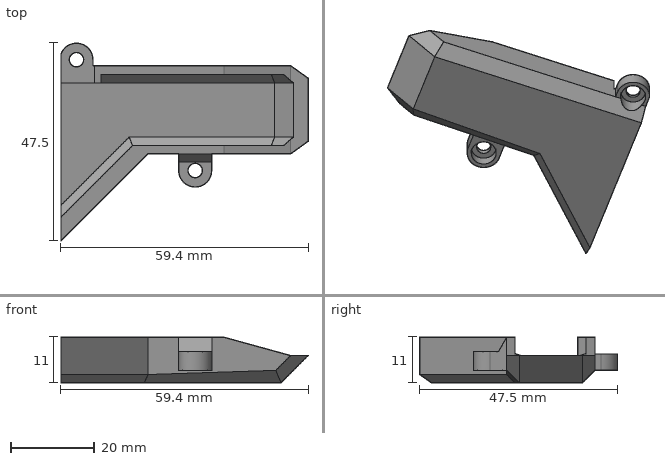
import cadquery as cq
import math

length = 59.35
height = 11.0
tray_front = 20.9
tray_back = 42.1

nose_height = 6.6
nose_bottom = length - nose_height
roof_break = 39.2
roof_end = 55.15
corner_depth = 3.0
corner_length = length - roof_end

diagonal_chamfer = 2.0
wide_chamfer = 3.0
front_chamfer_end = roof_end - nose_height + wide_chamfer
front_chamfer_growth = (wide_chamfer - diagonal_chamfer) / (front_chamfer_end - tray_front)

floor = 2.0
bevel = 2.0
front_wall = 2.0
cavity_front = tray_front + front_wall
back_floor_edge = 37.95
cavity_back = back_floor_edge + bevel
cavity_start = 9.7
cavity_nose_bottom = 49.3
diagonal_wall = 4.05
diagonal_wall_along_y = diagonal_wall * math.sqrt(2)

ear_radius = 4.0
hole_diameter = 3.4
counterbore_diameter = 6.0
counterbore_top = 6.0
ear_bottom = wide_chamfer
back_ear_top = 7.0
back_ear_x = 3.75
back_ear_y = 47.5 - ear_radius
back_step_end = 8.1
front_ear_top = 7.55
front_ear_x = 32.25
front_ear_y = 16.9
gusset_depth = 1.95

clearance = 11.9
cutter_size = 237.5


def trim(solid, point, outward):
    """Remove everything on the outward side of a plane."""
    plane = cq.Plane(origin=point, normal=outward)
    return solid.cut(cq.Workplane(plane).rect(cutter_size, cutter_size).extrude(cutter_size))


def trim_nose(solid, bottom_x, front, back):
    """Slope the nose at 45 degrees and cut its two corners along that slope."""
    solid = trim(solid, (bottom_x, 0, 0), (1, 0, -1))
    for y, side in ((front, -1), (back, 1)):
        corner = (bottom_x, y - side * corner_depth, 0)
        solid = trim(solid, corner, (corner_depth, side * corner_length, -corner_depth))
    return solid


def block(x0, x1, y0, y1, z0, z1):
    return cq.Workplane("XY").box(x1 - x0, y1 - y0, z1 - z0, centered=False).translate((x0, y0, z0))


def diagonal_prism(offset, back, bottom, top, chamfer):
    """Triangular prism behind the line y = x + offset, chamfered along its lower edge."""
    outline = [(0, offset), (back - offset, back), (0, back)]
    prism = cq.Workplane("XY").workplane(offset=bottom).polyline(outline).close().extrude(top - bottom)
    return trim(prism, (0, offset, bottom + chamfer), (1, -1, -math.sqrt(2)))


def outer_body():
    tray = block(0, length, tray_front, tray_back, 0, height)
    tray = trim(tray, (tray_front, tray_front, diagonal_chamfer), (front_chamfer_growth, -1, -1))
    tray = trim_nose(tray, nose_bottom, tray_front, tray_back)
    body = tray.union(diagonal_prism(0, tray_back, 0, height, diagonal_chamfer))
    body = trim(body, (0, tray_back, wide_chamfer), (0, 1, -1))
    roof = (
        cq.Workplane("XZ")
        .polyline([
            (roof_break, height),
            (roof_end, nose_height),
            (length, nose_height),
            (length, height),
        ])
        .close()
        .extrude(-tray_back)
    )
    return body.cut(roof)


def cavity():
    top = height + clearance
    tray = block(cavity_start, length + clearance, cavity_front, cavity_back, floor, top)
    tray = trim(tray, (0, cavity_front, floor + bevel), (0, -1, -1))
    tray = trim(tray, (0, cavity_back, floor + bevel), (0, 1, -1))
    corner_offset = corner_depth - bevel
    tray = trim_nose(tray, cavity_nose_bottom, cavity_front - corner_offset, cavity_back + corner_offset)
    return tray.union(diagonal_prism(diagonal_wall_along_y, back_floor_edge, floor, top, bevel))


def ear(x, y, root_y, top):
    """Round-ended lug reaching from root_y to the hole centre at (x, y)."""
    thickness = top - ear_bottom
    web = block(x - ear_radius, x + ear_radius, min(y, root_y), max(y, root_y), ear_bottom, top)
    disc = cq.Workplane("XY").workplane(offset=ear_bottom).center(x, y).circle(ear_radius).extrude(thickness)
    return web.union(disc)


def screw_hole(x, y):
    """Through hole with a screw-head counterbore entering from below."""
    axis = cq.Workplane("XY").center(x, y)
    hole = axis.circle(hole_diameter / 2).extrude(height)
    counterbore = axis.circle(counterbore_diameter / 2).extrude(counterbore_top)
    return hole.union(counterbore)


def front_gusset():
    return (
        cq.Workplane("YZ")
        .workplane(offset=front_ear_x - ear_radius)
        .polyline([
            (tray_front, front_ear_top),
            (tray_front, height),
            (tray_front - gusset_depth, front_ear_top),
        ])
        .close()
        .extrude(2 * ear_radius)
    )


body = outer_body().cut(cavity())

body = body.cut(block(0, back_step_end, back_floor_edge, tray_back, back_ear_top, height))

back_ear = trim(ear(back_ear_x, back_ear_y, tray_back, back_ear_top), (0, 0, 0), (-1, 0, 0))
front_ear = ear(front_ear_x, front_ear_y, tray_front, front_ear_top)
body = body.union(back_ear).union(front_ear).union(front_gusset())

result = body.cut(screw_hole(back_ear_x, back_ear_y)).cut(screw_hole(front_ear_x, front_ear_y))